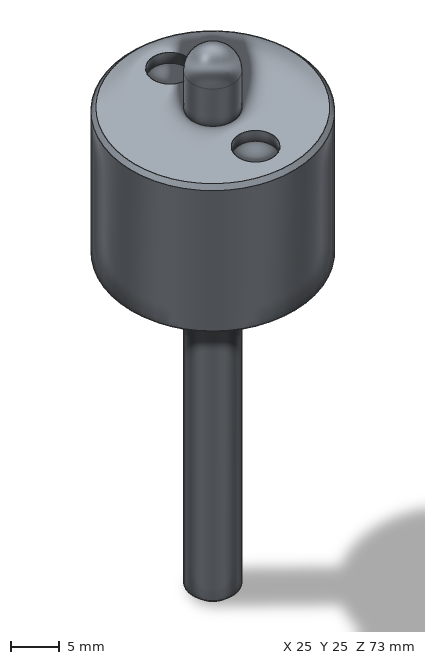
import cadquery as cq

total_length = 73.0
pin_diameter = 6.0
pin_end_chamfer = 0.8
tip_radius = pin_diameter / 2
head_diameter = 25.0
head_height = 20.0
head_chamfer = 0.5
tip_projection = 8.0
hole_diameter = 5.0
hole_offset = 7.5
hole_depth = 1.45

head_top = total_length - tip_projection
head_bottom = head_top - head_height
dome_base = total_length - tip_radius


def make_pin():
    """Straight pin with a tapered lower end and a hemispherical tip."""
    radius = pin_diameter / 2
    dome_middle = tip_radius * 0.5 ** 0.5
    return (
        cq.Workplane("XZ")
        .lineTo(radius - pin_end_chamfer, 0)
        .lineTo(radius, pin_end_chamfer)
        .lineTo(radius, dome_base)
        .threePointArc((dome_middle, dome_base + dome_middle), (0, total_length))
        .close()
        .revolve(360, (0, 0, 0), (0, 1, 0))
    )


def make_head():
    """Cylindrical head with chamfered rims and two blind holes in its top."""
    return (
        cq.Workplane("XY", origin=(0, 0, head_bottom))
        .circle(head_diameter / 2)
        .extrude(head_height)
        .edges("%CIRCLE")
        .chamfer(head_chamfer)
        .faces(">Z")
        .workplane()
        .pushPoints([(-hole_offset, 0), (hole_offset, 0)])
        .hole(hole_diameter, hole_depth)
    )


result = make_head().union(make_pin())